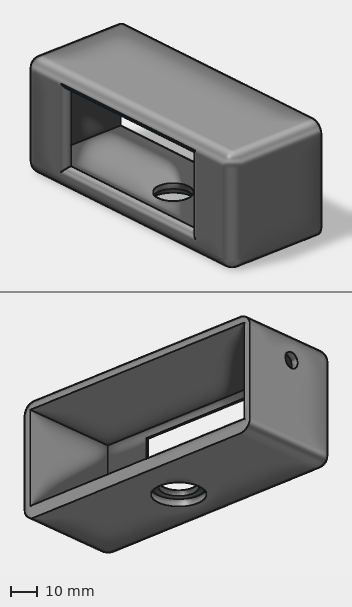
import cadquery as cq

length = 115.0
depth = 45.0
height = 48.0
corner_radius = 5.0
wall = 3.0
floor_thickness = 5.4

window_width = 70.2
window_top_margin = 6.4
window_bottom_margin = 9.5
window_edge_radius = 3.0

side_hole_diameter = 6.5
side_hole_drop = 11.6
floor_hole_diameter = 15.0
floor_counterbore_diameter = 20.5
floor_counterbore_depth = 3.0

front_y = -depth / 2
window_bottom = -height / 2 + window_bottom_margin
window_top = height / 2 - window_top_margin


def make_shell():
    """Box with rounded sides and front, hollowed from the back."""
    body = cq.Workplane("XY").box(length, depth, height)
    body = body.edges("|Y").fillet(corner_radius)
    body = body.faces("<Y").edges().fillet(corner_radius)
    cavity = (
        cq.Workplane("XY")
        .box(length - 2 * wall, depth, height - wall - floor_thickness)
        .translate((0, wall, (floor_thickness - wall) / 2))
    )
    return body.cut(cavity)


def flared_profile(plane, low, high):
    """Opening from low to high across the front wall, with rounded edges that widen to the front."""
    radius = window_edge_radius
    diagonal = radius * (1 - 0.5**0.5)
    throat_y = front_y + radius
    inner_y = front_y + 2 * wall
    return (
        cq.Workplane(plane)
        .moveTo(low - radius, front_y)
        .threePointArc((low - diagonal, front_y + diagonal), (low, throat_y))
        .lineTo(low, inner_y)
        .lineTo(high, inner_y)
        .lineTo(high, throat_y)
        .threePointArc((high + diagonal, front_y + diagonal), (high + radius, front_y))
        .close()
    )


def make_window():
    """Two crossed flared prisms meet in mitred corners."""
    across = flared_profile("XY", -window_width / 2, window_width / 2)
    across = across.extrude(height / 2, both=True)
    upright_plane = cq.Plane(origin=(0, 0, 0), xDir=(0, 0, 1), normal=(-1, 0, 0))
    upright = flared_profile(upright_plane, window_bottom, window_top)
    upright = upright.extrude(length / 2, both=True)
    return across.intersect(upright)


def make_side_hole():
    """Hole through the -X wall only."""
    return (
        cq.Workplane("YZ", origin=(-length / 2, 0, height / 2 - side_hole_drop))
        .circle(side_hole_diameter / 2)
        .extrude(2 * wall)
    )


def make_floor_hole():
    """Hole through the middle of the floor, counterbored from below."""
    underside = cq.Workplane("XY", origin=(0, 0, -height / 2))
    bore = underside.circle(floor_hole_diameter / 2).extrude(floor_thickness)
    counterbore = underside.circle(floor_counterbore_diameter / 2).extrude(floor_counterbore_depth)
    return bore.union(counterbore)


result = make_shell().cut(make_window()).cut(make_side_hole()).cut(make_floor_hole())